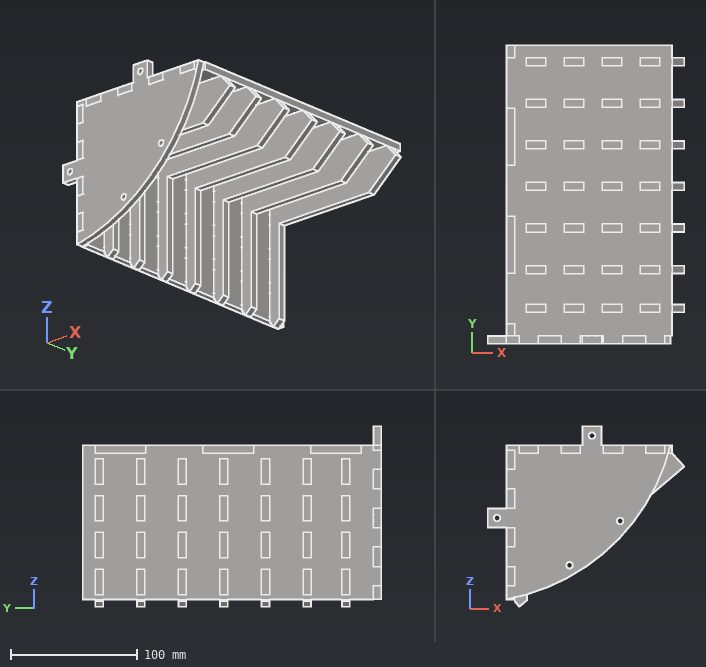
import cadquery as cq

SHEET = 6.5
LENGTH = 237.0
TOP_WIDTH = 131.3
SIDE_HEIGHT = 122.5

PLATE_WIDTH = 130.0
PLATE_HEIGHT = 122.3
ARC_MID = (94.5, -68.5)
LUG_WIDTH = 15.2
LUG_REACH = 15.0
LUG_TOP_X = 67.8
LUG_SIDE_Z = -57.8
HOLE_DIAMETER = 5.0
PLATE_HOLES = [(90.0, -60.2), (50.0, -95.3)]

FRONT_FINGER = 15.2
TOP_FINGER_PITCH = 33.5
SIDE_FINGER_PITCH = 30.8
FINGER_COUNT = 4

EDGE_FINGER = 40.0
EDGE_FINGER_PITCH = 85.3
EDGE_FINGER_START = 16.0
EDGE_FINGER_COUNT = 3

RIB_PITCH = 33.0
RIB_COUNT = 7
RIB_LAST_Y = 223.7
RIB_FIRST_Y = 28.2
RIB_TABS = 4
TOP_TAB = 15.6
TOP_TAB_START = 15.6
TOP_TAB_PITCH = 30.0
SIDE_TAB = 20.1
SIDE_TAB_START = 11.0
SIDE_TAB_PITCH = 29.2
RIB_TIP_RIGHT = (141.0, -17.0)
RIB_TIP_LOW = (10.2, -128.2)
RIB_LOW_SHOULDER_Z = -123.7
RIB_LEG = 10.0
RIB_ARM_BOTTOM_Z = -41.5


def block(x_range, y_range, z_range):
    """Box between the given limits along X, Y and Z."""
    (x0, x1), (y0, y1), (z0, z1) = x_range, y_range, z_range
    return cq.Workplane("XY").box(x1 - x0, y1 - y0, z1 - z0, centered=False).translate((x0, y0, z0))


def spans(start, width, pitch, count):
    """Limits of equal stretches in a row."""
    return [(start + i * pitch, start + i * pitch + width) for i in range(count)]


def centred_spans(middle, width, pitch, count):
    """Limits of equal stretches in a row that is centred on a point."""
    return spans(middle - ((count - 1) * pitch + width) / 2, width, pitch, count)


def joined(blocks):
    """One shape from several blocks."""
    shape = blocks[0]
    for other in blocks[1:]:
        shape = shape.union(other)
    return shape


TOP_LAYER = (-SHEET, 0)
SIDE_LAYER = (0, SHEET)
FRONT_LAYER = (0, SHEET)
BEHIND_PLATE = (SHEET, LENGTH)

RIB_MIDDLES = [RIB_FIRST_Y] + [RIB_LAST_Y - i * RIB_PITCH for i in range(RIB_COUNT - 1)]

top_front_fingers = joined([
    block(x_span, FRONT_LAYER, TOP_LAYER)
    for x_span in centred_spans(LUG_TOP_X, FRONT_FINGER, TOP_FINGER_PITCH, FINGER_COUNT)
])
side_front_fingers = joined([
    block(SIDE_LAYER, FRONT_LAYER, z_span)
    for z_span in centred_spans(LUG_SIDE_Z, FRONT_FINGER, SIDE_FINGER_PITCH, FINGER_COUNT)
])
top_edge_fingers = joined([
    block(SIDE_LAYER, y_span, TOP_LAYER)
    for y_span in spans(EDGE_FINGER_START, EDGE_FINGER, EDGE_FINGER_PITCH, EDGE_FINGER_COUNT)
])


def rib_tabs(middle_y):
    """Tabs of one rib, reaching through to the outer faces of both panels."""
    rib_layer = (middle_y - SHEET / 2, middle_y + SHEET / 2)
    tabs = [
        block(x_span, rib_layer, TOP_LAYER)
        for x_span in spans(TOP_TAB_START, TOP_TAB, TOP_TAB_PITCH, RIB_TABS)
    ]
    tabs += [
        block(SIDE_LAYER, rib_layer, z_span)
        for z_span in spans(-SIDE_TAB_START - SIDE_TAB, SIDE_TAB, -SIDE_TAB_PITCH, RIB_TABS)
    ]
    return tabs


def make_rib(middle_y):
    """L-shaped rib with sloping ends and tabs along both panels."""
    corner_x = SHEET + RIB_LEG
    slope = (RIB_TIP_RIGHT[1] - RIB_TIP_LOW[1]) / (RIB_TIP_RIGHT[0] - RIB_TIP_LOW[0])
    leg_end_z = RIB_TIP_LOW[1] + (corner_x - RIB_TIP_LOW[0]) * slope
    arm_end_x = RIB_TIP_LOW[0] + (RIB_ARM_BOTTOM_Z - RIB_TIP_LOW[1]) / slope
    body = (
        cq.Workplane("XZ", origin=(0, middle_y, 0))
        .polyline([
            (SHEET, -SHEET),
            (TOP_WIDTH, -SHEET),
            RIB_TIP_RIGHT,
            (arm_end_x, RIB_ARM_BOTTOM_Z),
            (corner_x, RIB_ARM_BOTTOM_Z),
            (corner_x, leg_end_z),
            RIB_TIP_LOW,
            (SHEET, RIB_LOW_SHOULDER_Z),
        ])
        .close()
        .extrude(SHEET / 2, both=True)
    )
    return joined([body] + rib_tabs(middle_y))


rib_slots = joined([tab for middle_y in RIB_MIDDLES for tab in rib_tabs(middle_y)])


def make_top_panel():
    """Top panel with fingers along the front and the side edge, and slots for the ribs."""
    sheet = block((SHEET, TOP_WIDTH), BEHIND_PLATE, TOP_LAYER)
    return sheet.union(top_edge_fingers).union(top_front_fingers).cut(rib_slots)


def make_side_panel():
    """Side panel that fills the gaps between the top panel's edge fingers."""
    sheet = block(SIDE_LAYER, BEHIND_PLATE, (-SIDE_HEIGHT, 0))
    return sheet.cut(top_edge_fingers).union(side_front_fingers).cut(rib_slots)


def make_front_plate():
    """Arc-edged plate with two mounting lugs, notched for the fingers of both panels."""
    outline = (
        cq.Workplane("XZ")
        .lineTo(PLATE_WIDTH, 0)
        .threePointArc(ARC_MID, (0, -PLATE_HEIGHT))
        .close()
        .extrude(-SHEET)
    )
    half_lug = LUG_WIDTH / 2
    top_lug = block((LUG_TOP_X - half_lug, LUG_TOP_X + half_lug), FRONT_LAYER, (-SHEET, LUG_REACH))
    side_lug = block((-LUG_REACH, SHEET), FRONT_LAYER, (LUG_SIDE_Z - half_lug, LUG_SIDE_Z + half_lug))
    lug_holes = [(LUG_TOP_X, LUG_REACH / 2), (-LUG_REACH / 2, LUG_SIDE_Z)]
    holes = (
        cq.Workplane("XZ")
        .pushPoints(PLATE_HOLES + lug_holes)
        .circle(HOLE_DIAMETER / 2)
        .extrude(-SHEET)
    )
    plate = outline.union(top_lug).union(side_lug)
    return plate.cut(top_front_fingers).cut(side_front_fingers).cut(holes)


top_panel = make_top_panel()
side_panel = make_side_panel()
front_plate = make_front_plate()
ribs = [make_rib(middle_y) for middle_y in RIB_MIDDLES]

result = cq.Compound.makeCompound(
    [top_panel.val(), side_panel.val(), front_plate.val(), *[rib.val() for rib in ribs]]
)